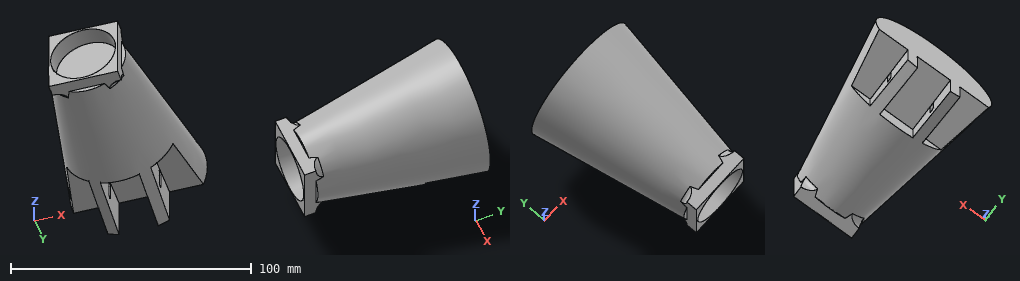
import cadquery as cq

TOTAL_LENGTH = 77.9
NECK_Y = 5.2
HEAD_BACK_Y = 8.95

WIDE_RADIUS = 30.0
NARROW_RADIUS = 16.9

HEAD_SIDE = 30.1
SOCKET_DIAMETER = 28.2
SOCKET_DEPTH = 8.1

LEG_FRONT_Y = 51.6
LEG_TOP_Z = -10.05
LEG_OUTER_X = 13.5
LEG_INNER_X = 8.5

SLOT_Y = 64.7
SLOT_Z = -15.0
SLOT_HEIGHT = 9.2
SLOT_WIDTH = 2.4


def make_cone():
    profile = [
        (0, NECK_Y),
        (NARROW_RADIUS, NECK_Y),
        (WIDE_RADIUS, TOTAL_LENGTH),
        (0, TOTAL_LENGTH),
    ]
    return cq.Workplane("XY").polyline(profile).close().revolve(360, (0, 0), (0, 1))


def make_head():
    """Square block whose rear corners are hollowed by a ring around the axis."""
    block = cq.Workplane("XZ").rect(HEAD_SIDE, HEAD_SIDE).extrude(-HEAD_BACK_Y)
    corner_radius = HEAD_SIDE / 2 * 2**0.5
    ring_radius = HEAD_BACK_Y - NECK_Y
    ring = (
        cq.Workplane("XY")
        .center(corner_radius, HEAD_BACK_Y)
        .circle(ring_radius)
        .revolve(360, (-corner_radius, 0), (-corner_radius, 1))
    )
    return block.cut(ring)


def make_socket():
    return cq.Workplane("XZ").circle(SOCKET_DIAMETER / 2).extrude(-SOCKET_DEPTH)


def make_leg_clearance(x_start, x_end):
    """Block removed below the leg tops, between two X positions."""
    return cq.Workplane("XY").box(
        x_end - x_start,
        TOTAL_LENGTH - LEG_FRONT_Y,
        WIDE_RADIUS + LEG_TOP_Z,
        centered=False,
    ).translate((x_start, LEG_FRONT_Y, -WIDE_RADIUS))


def make_slot():
    return (
        cq.Workplane("YZ")
        .center(SLOT_Y, SLOT_Z)
        .slot2D(SLOT_HEIGHT, SLOT_WIDTH, 90)
        .extrude(LEG_OUTER_X, both=True)
    )


result = make_cone().union(make_head()).cut(make_socket())

for x_start, x_end in (
    (-WIDE_RADIUS, -LEG_OUTER_X),
    (-LEG_INNER_X, LEG_INNER_X),
    (LEG_OUTER_X, WIDE_RADIUS),
):
    result = result.cut(make_leg_clearance(x_start, x_end))

result = result.cut(make_slot())